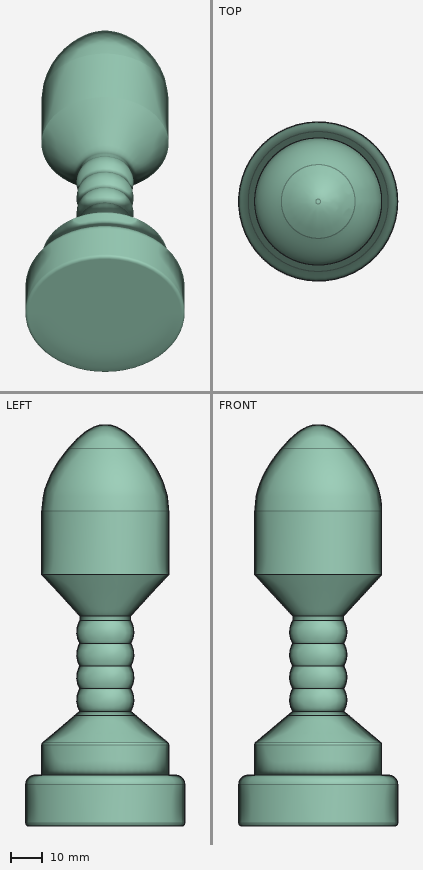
import cadquery as cq

body_diameter = 40.0
root_diameter = 19.0
stem_diameter = 16.0

flange_diameter = 50.0
flange_height = 16.0
flange_top_radius = 3.0
flange_bottom_radius = 1.0

foot_shoulder_height = 26.0
foot_edge_radius = 1.0

bead_diameter = 18.0
bead_count = 4
beads_bottom_height = 36.0
beads_top_height = 64.5
bead_length = (beads_top_height - beads_bottom_height) / bead_count

head_bottom_height = 66.0
head_cylinder_bottom_height = 79.0
head_cylinder_top_height = 99.0
nose_side_control_height = 108.7
nose_joint_diameter = 23.2
nose_joint_height = 118.6
nose_tip_control_radius = 5.4
tip_flat_diameter = 1.5
total_height = 126.0

body_radius = body_diameter / 2
root_radius = root_diameter / 2
stem_radius = stem_diameter / 2
nose_joint_radius = nose_joint_diameter / 2

taper_slope = (beads_bottom_height - foot_shoulder_height) / (body_radius - stem_radius)
root_height = foot_shoulder_height + taper_slope * (body_radius - root_radius)


def profile_from_axis(height):
    """Start a half profile on the Z axis; its local axes are X and Z."""
    return cq.Workplane("XZ").moveTo(0, height)


def revolved(profile):
    """Close a half profile along the Z axis and turn it about that axis."""
    return profile.close().revolve(360, (0, 0, 0), (0, 1, 0))


def make_flange():
    flange = cq.Workplane("XY").circle(flange_diameter / 2).extrude(flange_height)
    flange = flange.faces(">Z").edges().fillet(flange_top_radius)
    return flange.faces("<Z").edges().fillet(flange_bottom_radius)


def make_foot():
    collar = cq.Workplane("XY").workplane(offset=flange_height).circle(body_radius)
    collar = collar.extrude(foot_shoulder_height - flange_height)
    taper = revolved(
        profile_from_axis(foot_shoulder_height)
        .lineTo(body_radius, foot_shoulder_height)
        .lineTo(root_radius, root_height)
        .lineTo(0, root_height)
    )
    shoulder_edge = cq.selectors.NearestToPointSelector((body_radius, 0, foot_shoulder_height))
    return collar.union(taper).edges("%CIRCLE").edges(shoulder_edge).fillet(foot_edge_radius)


def make_stem():
    profile = (
        profile_from_axis(root_height)
        .lineTo(root_radius, root_height)
        .lineTo(stem_radius, beads_bottom_height)
    )
    for index in range(bead_count):
        bottom = beads_bottom_height + index * bead_length
        profile = profile.threePointArc(
            (bead_diameter / 2, bottom + bead_length / 2),
            (stem_radius, bottom + bead_length),
        )
    return revolved(profile.lineTo(stem_radius, head_bottom_height).lineTo(0, head_bottom_height))


def make_head():
    side_curve = [
        (body_radius, head_cylinder_top_height),
        (body_radius, nose_side_control_height),
        (nose_joint_radius, nose_joint_height),
    ]
    tip_curve = [
        (nose_joint_radius, nose_joint_height),
        (nose_tip_control_radius, total_height),
        (tip_flat_diameter / 2, total_height),
    ]
    return revolved(
        profile_from_axis(head_bottom_height)
        .lineTo(stem_radius, head_bottom_height)
        .lineTo(body_radius, head_cylinder_bottom_height)
        .lineTo(body_radius, head_cylinder_top_height)
        .bezier(side_curve)
        .bezier(tip_curve)
        .lineTo(0, total_height)
    )


flange = make_flange()
foot = make_foot()
stem = make_stem()
head = make_head()

result = cq.Compound.makeCompound([flange.val(), foot.val(), stem.val(), head.val()])